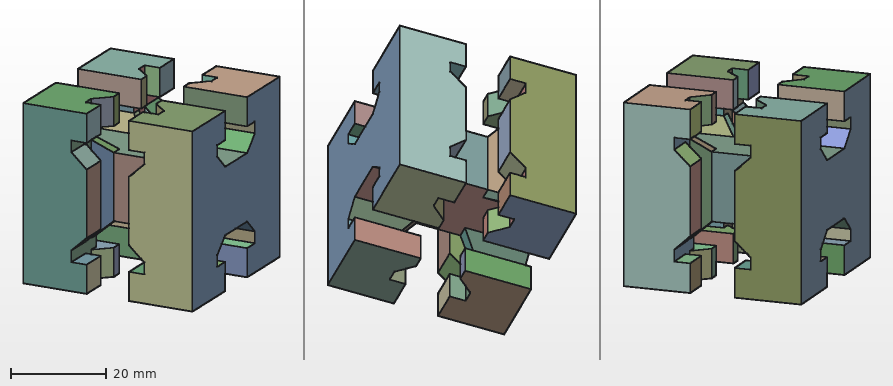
import cadquery as cq

side = 40.0
slot_opening = 10.0
slot_width = 17.2
lip_thickness = 6.5
wall_depth = 9.1
slot_depth = 12.4

half_side = side / 2
half_opening = slot_opening / 2
half_width = slot_width / 2


def t_slots(plane):
    """Opposed pair of T-slots along the plane normal, open at the plane's +y and -y edges."""
    half_profile = [
        (half_opening, half_side),
        (half_opening, half_side - lip_thickness),
        (half_width, half_side - lip_thickness),
        (half_width, half_side - wall_depth),
        (half_opening, half_side - slot_depth),
    ]
    mirrored_half = [(-x, y) for x, y in reversed(half_profile)]
    slot = (
        cq.Workplane(plane)
        .polyline(half_profile + mirrored_half)
        .close()
        .extrude(half_side, both=True)
    )
    opposite_slot = slot.rotate((0, 0, 0), slot.plane.zDir.toTuple(), 180)
    return slot.union(opposite_slot)


cube = cq.Workplane("XY").box(side, side, side)

top_bottom_y_slots = t_slots("XZ")
top_bottom_x_slots = t_slots("YZ")

front_back_z_slots = t_slots("XY")

result = cube.cut(top_bottom_y_slots).cut(top_bottom_x_slots).cut(front_back_z_slots)